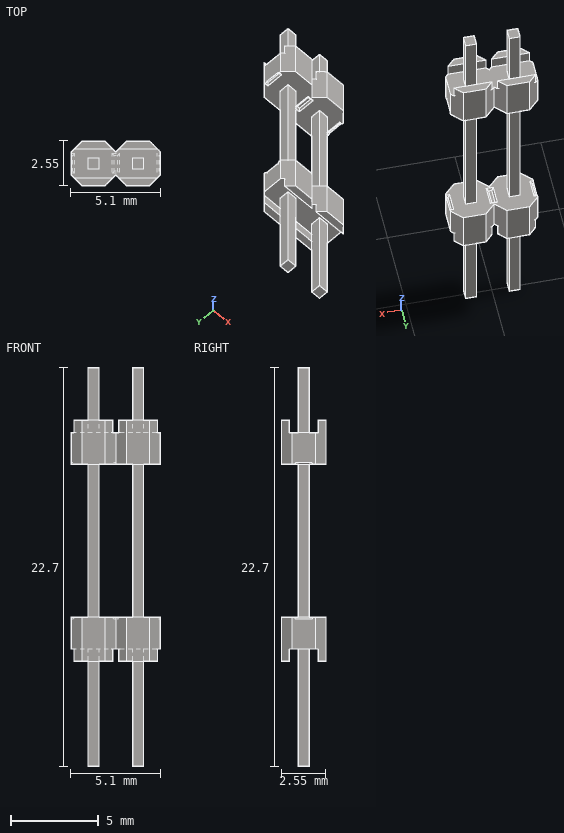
import cadquery as cq

pin_length = 22.7
pin_width = 0.64
pin_count = 2

pitch = 2.55
housing_height = 2.52
corner_chamfer = 0.61
slot_width = 1.63
slot_depth = 0.7

recess_depth = 0.11
recess_wall_angle = 45
recess_mouth_width = 0.4
recess_mouth_length = 1.11

lower_housing_base = 5.97
upper_housing_base = 17.18

row_length = pin_count * pitch
pin_positions = [((index + 0.5) * pitch - row_length / 2, 0) for index in range(pin_count)]
block_borders = [(index * pitch - row_length / 2, 0) for index in range(pin_count + 1)]


def block_row():
    """Blocks with chamfered upright corners, side by side along X."""
    row = cq.Workplane("XY")
    for x, y in pin_positions:
        block = (
            cq.Workplane("XY")
            .box(pitch, pitch, housing_height, centered=(True, True, False))
            .edges("|Z")
            .chamfer(corner_chamfer)
        )
        row = row.union(block.translate((x, y, 0)))
    return row


def slot():
    """Channel along the whole row in the upper face."""
    return (
        cq.Workplane("XY")
        .workplane(offset=housing_height - slot_depth)
        .rect(row_length, slot_width)
        .extrude(slot_depth)
    )


def recesses():
    """Recesses in the plain lower face, narrowing inwards."""
    return (
        cq.Workplane("XY")
        .pushPoints(block_borders)
        .rect(recess_mouth_width, recess_mouth_length)
        .extrude(recess_depth, taper=recess_wall_angle)
    )


def pins():
    """Square pins running through both housings."""
    return (
        cq.Workplane("XY")
        .pushPoints(pin_positions)
        .rect(pin_width, pin_width)
        .extrude(pin_length)
    )


housing = block_row().cut(slot()).cut(recesses())

upper_housing = housing.translate((0, 0, upper_housing_base))
lower_housing = (
    housing
    .rotate((0, 0, 0), (1, 0, 0), 180)
    .translate((0, 0, lower_housing_base + housing_height))
)

result = pins().union(upper_housing).union(lower_housing)